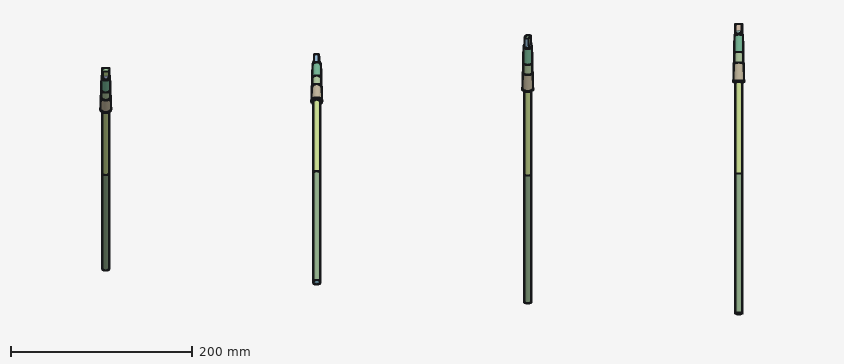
import cadquery as cq
import math


overall_length = 330.0
shank_length = 65.5
cutting_length = 159.5
point_angle = 130.0
drill_diameter = 8.0
neck_cone_diameter = 10.0
neck_cone_height = 1.5

taper_ratio = 1 / 20.047
shank_large_diameter = 12.22
relief_diameter = 10.1
relief_top_z = 297.0
relief_bottom_z = 284.7

tang_diameter = 8.7
tang_thickness = 5.2
tang_length = 12.5
tang_cone_height = 1.0
taper_chamfer_height = 1.0
tang_flat_length = 8.5
tang_runout_radius = 5.0
tang_normal_angle = -60.0

drill_radius = drill_diameter / 2
point_height = drill_radius / math.tan(math.radians(point_angle / 2))
shank_bottom_z = overall_length - shank_length
tang_bottom_z = overall_length - tang_length
taper_top_z = tang_bottom_z - taper_chamfer_height


def taper_radius(z):
    """Radius of the Morse taper at height z."""
    return (shank_large_diameter - (z - shank_bottom_z) * taper_ratio) / 2


def make_cutting_part():
    """Cylindrical cutting length with its conical point."""
    outline = [
        (0, 0),
        (drill_radius, point_height),
        (drill_radius, cutting_length),
        (0, cutting_length),
    ]
    return cq.Workplane("XZ").polyline(outline).close().revolve(360, (0, 0), (0, 1))


def make_shank_blank():
    """Turned shape of the shank, from the cutting part up to the end of the tang."""
    relief_radius = relief_diameter / 2
    tang_radius = tang_diameter / 2
    outline = [
        (0, cutting_length),
        (drill_radius, cutting_length),
        (drill_radius, shank_bottom_z - neck_cone_height),
        (neck_cone_diameter / 2, shank_bottom_z),
        (taper_radius(shank_bottom_z), shank_bottom_z),
        (taper_radius(relief_bottom_z), relief_bottom_z),
        (relief_radius, relief_bottom_z),
        (relief_radius, relief_top_z),
        (taper_radius(relief_top_z), relief_top_z),
        (taper_radius(taper_top_z), taper_top_z),
        (tang_radius, tang_bottom_z),
        (tang_radius, overall_length - tang_cone_height),
        (0, overall_length),
    ]
    return cq.Workplane("XZ").polyline(outline).close().revolve(360, (0, 0), (0, 1))


def make_tang_cut(side):
    """Material beside one tang flat, with its run-out radius (side is +1 or -1)."""
    half_thickness = tang_thickness / 2
    flat_end_z = overall_length - tang_flat_length
    arc_angle = math.radians(45)
    arc_middle = (
        side * (half_thickness + tang_runout_radius * (1 - math.cos(arc_angle))),
        flat_end_z - tang_runout_radius * math.sin(arc_angle),
    )
    arc_end = (side * (half_thickness + tang_runout_radius), flat_end_z - tang_runout_radius)
    return (
        cq.Workplane("XZ")
        .moveTo(side * half_thickness, overall_length)
        .lineTo(side * half_thickness, flat_end_z)
        .threePointArc(arc_middle, arc_end)
        .lineTo(arc_end[0], overall_length)
        .close()
        .extrude(shank_large_diameter / 2, both=True)
        .rotate((0, 0, 0), (0, 0, 1), tang_normal_angle)
    )


def make_shank():
    """Morse taper shank with its relief and tang."""
    body = make_shank_blank()
    for side in (1, -1):
        body = body.cut(make_tang_cut(side))
    return body


cutting_part = make_cutting_part()
shank = make_shank()

result = cq.Compound.makeCompound([cutting_part.val(), shank.val()])